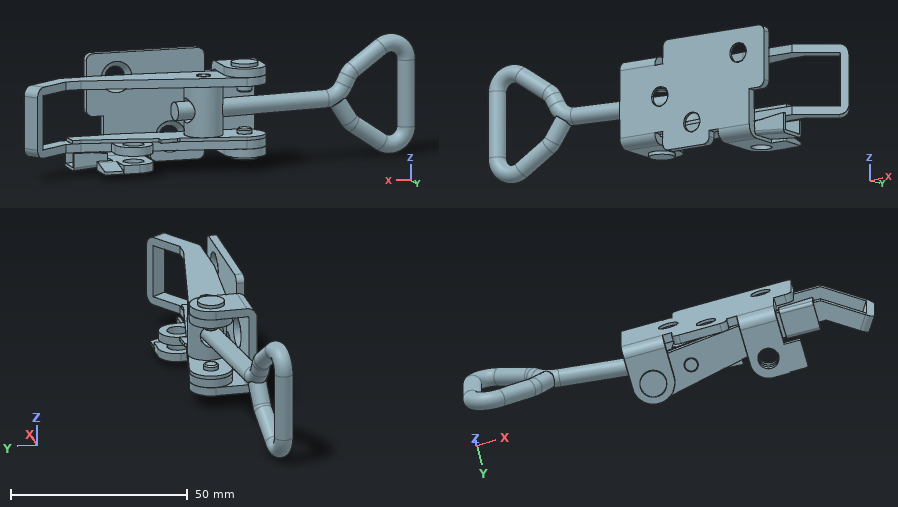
import cadquery as cq
import math

SHEET = 2.5
THIN_SHEET = 1.0
CLEAR = 0.05

PIVOT = (0.0, 12.05)
TRUNNION = (11.6, 10.4)
PADLOCK_HOLE_D = 5.9

LEVER_INNER = 7.75
LEVER_OUTER = LEVER_INNER + SHEET
LEVER_END_R = 6.1
LEVER_TOP_SLOPE = 11.8
LEVER_BOTTOM_SLOPE = 5.6
LEVER_FLAT_BOTTOM = 2.5
LEVER_FLAT_TOP = 8.4
LEVER_KINK_X = 51.8
LEVER_TIP_ANGLE = 33.6
LEVER_TIP_LENGTH = 16.1
LEVER_CORNER_R = 2.75
LEVER_RING = (33.4, 13.55)
LEVER_RING_R = 5.45

EAR_INNER = LEVER_OUTER + CLEAR
EAR_OUTER = EAR_INNER + SHEET
EAR_R = 6.1
EAR_BEND_R = 3.0
NECK_HALF = 9.8
FLANGE_LEFT = 8.8
FLANGE_TOP = 16.7
FLANGE_RIGHT = 43.9
FLANGE_STEP_Z = -1.4
FLANGE_CORNER_R = 2.0
FOOT_RIGHT = 24.9
FOOT_BOTTOM = -15.4
LUG_LEFT = 27.9
LUG_RIGHT = 38.8
LUG_OUTER = -15.15
LUG_TOP = 19.3
LUG_BEND_R = 3.5
MOUNT_HOLES = ((7.8, 0.5), (18.9, -8.4), (34.9, 9.6))
MOUNT_HOLE_D = 5.6
MOUNT_HOLE_LAND = 0.8
TAB_LEFT = 38.1
TAB_RIGHT = 43.6
TAB_BOTTOM = 10.8
TAB_FOLD = 12.6
TAB_TOP = 19.1
TAB_DROP = 1.6
TAB_CORNER_R = 0.6

RIVET_D = 4.2
RIVET_HEAD_D = 7.6
RIVET_HEAD_H = 1.0
RIVET_TIP = 5.3
RIVET_TIP_CHAMFER = 0.4
TRUNNION_D = 11.0
SPIGOT_D = 4.0
SPIGOT_CHAMFER = 0.2
BOLT_TILT = 6.5
BOLT_HOLE_D = 7.0
WIRE_D = 5.3
BOLT_END = 9.0
STEM_END = -37.7
EYE_NECK_R = 6.4
EYE_NECK_TURN = 63.0
EYE_NECK_LENGTH = 2.9
EYE_SHOULDER_R = 4.4
EYE_SIDE_ANGLE = 34.3
EYE_SIDE_LENGTH = 10.6
EYE_CORNER_R = 5.0
EYE_BAR_LENGTH = 19.2
EYE_RETURN_ANGLE = 57.0
EYE_RETURN_LENGTH = 7.0

PLATE_RIGHT = 49.9
PLATE_STOP = ((17.5, 13.0), (20.7, 14.6), (25.7, 14.9), (25.7, 12.0))
GRIP_LEFT = 39.9
GRIP_BOTTOM = 1.1
GRIP_TOP = 9.8
GRIP_BEND_R = 1.0
GRIP_INNER_Z = (-10.8, -9.6)
GRIP_OUTER_Z = (-14.6, -15.4)


def disc(centre, diameter, z_low, z_high):
    """Cylinder along Z."""
    return (cq.Workplane("XY", origin=(centre[0], centre[1], z_low))
            .circle(diameter / 2).extrude(z_high - z_low))


def block(x_range, y_range, z_range):
    """Box given by its limits along each axis."""
    return (cq.Workplane("XY")
            .box(x_range[1] - x_range[0], y_range[1] - y_range[0], z_range[1] - z_range[0], centered=False)
            .translate((x_range[0], y_range[0], z_range[0])))


def lever_side(z_low, z_high):
    """Side outline of the lever, extruded between two Z levels."""
    px, py = PIVOT
    top = math.radians(LEVER_TOP_SLOPE)
    low = math.radians(LEVER_BOTTOM_SLOPE)
    tip = math.radians(LEVER_TIP_ANGLE)
    top_start = (px + LEVER_END_R * math.sin(top), py + LEVER_END_R * math.cos(top))
    low_start = (px - LEVER_END_R * math.sin(low), py - LEVER_END_R * math.cos(low))
    top_flat_x = top_start[0] + (top_start[1] - LEVER_FLAT_TOP) / math.tan(top)
    low_flat_x = low_start[0] + (low_start[1] - LEVER_FLAT_BOTTOM) / math.tan(low)
    low_tip = (LEVER_KINK_X + LEVER_TIP_LENGTH * math.cos(tip),
               LEVER_FLAT_BOTTOM + LEVER_TIP_LENGTH * math.sin(tip))
    tip_width = (LEVER_FLAT_TOP - LEVER_FLAT_BOTTOM) * math.cos(tip)
    top_tip = (low_tip[0] - tip_width * math.sin(tip), low_tip[1] + tip_width * math.cos(tip))
    return (cq.Workplane("XY", origin=(0, 0, z_low))
            .moveTo(*top_start)
            .lineTo(top_flat_x, LEVER_FLAT_TOP)
            .lineTo(LEVER_KINK_X, LEVER_FLAT_TOP)
            .lineTo(*top_tip)
            .lineTo(*low_tip)
            .lineTo(LEVER_KINK_X, LEVER_FLAT_BOTTOM)
            .lineTo(low_flat_x, LEVER_FLAT_BOTTOM)
            .lineTo(*low_start)
            .threePointArc((px - LEVER_END_R, py), top_start)
            .close()
            .extrude(z_high - z_low))


def base_channel():
    """Web and two rounded ears that carry the pivot rivets."""
    px, py = PIVOT
    x_range = (px - EAR_R, px + EAR_R)
    channel = block(x_range, (0, py), (-EAR_OUTER, EAR_OUTER))
    channel = channel.edges("|X and <Y").fillet(EAR_BEND_R)
    ear_tops = disc(PIVOT, 2 * EAR_R, -EAR_OUTER, EAR_OUTER)
    gap = (block(x_range, (SHEET, py + EAR_R), (-EAR_INNER, EAR_INNER))
           .edges("|X and <Y").fillet(EAR_BEND_R - SHEET))
    return channel.union(ear_tops).cut(gap)


def base_flange():
    """Flat mounting flange with its foot, neck and rounded free corners."""
    bend_start = LUG_OUTER + LUG_BEND_R
    flange = block((FLANGE_LEFT, FLANGE_RIGHT), (0, SHEET), (FLANGE_STEP_Z, FLANGE_TOP))
    flange = flange.edges("|Y and (>Z or >X)").fillet(FLANGE_CORNER_R)
    foot = block((FLANGE_LEFT, FOOT_RIGHT), (0, SHEET), (FOOT_BOTTOM, FLANGE_STEP_Z))
    foot = foot.edges("|Y and <Z").fillet(FLANGE_CORNER_R)
    middle = block((FLANGE_LEFT, LUG_RIGHT), (0, SHEET), (bend_start, FLANGE_STEP_Z))
    neck = block((PIVOT[0], FLANGE_LEFT), (0, SHEET), (-NECK_HALF, NECK_HALF))
    return flange.union(foot).union(middle).union(neck)


def base_lug():
    """Padlock lug bent up from the lower edge, one upper corner rounded."""
    inner = LUG_OUTER + SHEET
    bend_start = LUG_OUTER + LUG_BEND_R
    x_range = (LUG_LEFT, LUG_RIGHT)
    lug = block(x_range, (0, LUG_TOP), (LUG_OUTER, bend_start + SHEET))
    lug = lug.edges("|X and <Y and <Z").fillet(LUG_BEND_R)
    gap = (block(x_range, (SHEET, LUG_TOP), (inner, bend_start + 2 * SHEET))
           .edges("|X and <Y and <Z").fillet(LUG_BEND_R - SHEET))
    lug = lug.cut(gap)
    corner_r = (LUG_RIGHT - LUG_LEFT) / 2
    lug = lug.edges("|Z and <X and >Y").fillet(corner_r)
    tab_room = block((TAB_LEFT, LUG_RIGHT), (TAB_BOTTOM, LUG_TOP), (LUG_OUTER, inner))
    return lug.cut(tab_room)


def base_tab():
    """Tab beside the lug, its inner face sloping away above a fold line."""
    inner = LUG_OUTER + SHEET
    tab = (cq.Workplane("YZ", origin=(TAB_LEFT, 0, 0))
           .polyline([(TAB_BOTTOM, LUG_OUTER), (TAB_BOTTOM, inner), (TAB_FOLD, inner),
                      (TAB_TOP, inner - TAB_DROP), (TAB_TOP, LUG_OUTER)])
           .close().extrude(TAB_RIGHT - TAB_LEFT))
    return tab.edges("|Z and >X").fillet(TAB_CORNER_R)


def mount_hole(x, z):
    """Cutter for a mounting hole, countersunk from the inside of the base."""
    radius = MOUNT_HOLE_D / 2
    sink_radius = radius + SHEET - MOUNT_HOLE_LAND
    profile = [(0, 0), (radius, 0), (radius, MOUNT_HOLE_LAND), (sink_radius, SHEET), (0, SHEET)]
    return (cq.Workplane("XY").polyline(profile).close()
            .revolve(360, (0, 0, 0), (0, 1, 0)).translate((x, 0, z)))


def make_base():
    base = base_channel().union(base_flange()).union(base_lug()).union(base_tab())
    for x, z in MOUNT_HOLES:
        base = base.cut(mount_hole(x, z))
    base = base.cut(disc(PIVOT, RIVET_D, -EAR_OUTER, EAR_OUTER))
    return base.cut(disc(LEVER_RING, PADLOCK_HOLE_D, LUG_OUTER, LUG_OUTER + SHEET))


def lever_ring():
    """Padlock ring standing on the lower arm."""
    x, y = LEVER_RING
    stem = block((x - LEVER_RING_R, x + LEVER_RING_R), (LEVER_FLAT_TOP, y), (-LEVER_OUTER, -LEVER_INNER))
    return stem.union(disc(LEVER_RING, 2 * LEVER_RING_R, -LEVER_OUTER, -LEVER_INNER))


def make_lever():
    lever = lever_side(-LEVER_OUTER, LEVER_OUTER)
    tip = math.radians(LEVER_TIP_ANGLE)
    across_tip = cq.Vector(-math.sin(tip), math.cos(tip), 0)
    lever = lever.edges(cq.selectors.ParallelDirSelector(across_tip)).fillet(LEVER_CORNER_R)
    gap = lever_side(-LEVER_INNER, LEVER_INNER)
    bar = (cq.Workplane("XY").box(2 * SHEET, 4 * LEVER_END_R, 2 * LEVER_OUTER)
           .rotate((0, 0, 0), (0, 0, 1), LEVER_TIP_ANGLE)
           .translate((LEVER_KINK_X + LEVER_TIP_LENGTH * math.cos(tip),
                       LEVER_FLAT_BOTTOM + LEVER_TIP_LENGTH * math.sin(tip), 0)))
    lever = lever.cut(gap.cut(bar)).union(lever_ring())
    lever = lever.cut(disc(LEVER_RING, PADLOCK_HOLE_D, -LEVER_OUTER, -LEVER_INNER))
    lever = lever.cut(disc(TRUNNION, SPIGOT_D, -LEVER_OUTER, LEVER_OUTER))
    return lever.cut(disc(PIVOT, RIVET_D, -LEVER_OUTER, LEVER_OUTER))


def make_rivet(side):
    """Headed rivet through one ear and one lever arm; side is +1 or -1 along Z."""
    shank = disc(PIVOT, RIVET_D, RIVET_TIP, EAR_OUTER).faces("<Z").chamfer(RIVET_TIP_CHAMFER)
    rivet = shank.union(disc(PIVOT, RIVET_HEAD_D, EAR_OUTER, EAR_OUTER + RIVET_HEAD_H))
    return rivet if side > 0 else rivet.mirror("XY")


BARREL_LOW = -LEVER_INNER + THIN_SHEET
BARREL_HIGH = LEVER_INNER
BOLT_Z = (BARREL_LOW + BARREL_HIGH) / 2


def along_bolt(shape):
    """Move a shape built about the bolt axis (X) onto the tilted bolt axis."""
    return shape.rotate((0, 0, 0), (0, 0, 1), BOLT_TILT).translate((TRUNNION[0], TRUNNION[1], BOLT_Z))


def make_trunnion():
    barrel = disc(TRUNNION, TRUNNION_D, BARREL_LOW, BARREL_HIGH)
    spigots = disc(TRUNNION, SPIGOT_D, -LEVER_OUTER, LEVER_OUTER).faces("<Z or >Z").chamfer(SPIGOT_CHAMFER)
    bore = cq.Workplane("YZ").circle(BOLT_HOLE_D / 2).extrude(TRUNNION_D, both=True)
    return barrel.union(spigots).cut(along_bolt(bore))


def turn_path(start, heading, moves):
    """Wire of straights and tangent arcs. A move is (length,) or (radius, turn in degrees, left positive)."""
    x, z = start
    path = cq.Workplane("XZ").moveTo(x, z)
    for move in moves:
        if len(move) == 1:
            x += move[0] * math.cos(math.radians(heading))
            z += move[0] * math.sin(math.radians(heading))
            path = path.lineTo(x, z)
            continue
        radius, turn = move
        side = math.copysign(90, turn)
        to_centre = math.radians(heading + side)
        centre = (x + radius * math.cos(to_centre), z + radius * math.sin(to_centre))
        spots = []
        for part in (0.5, 1.0):
            angle = math.radians(heading - side + part * turn)
            spots.append((centre[0] + radius * math.cos(angle), centre[1] + radius * math.sin(angle)))
        path = path.threePointArc(*spots)
        heading += turn
        x, z = spots[-1]
    return path


def sweep_wire(edges):
    """Round wire following a chain of edges."""
    start = cq.Plane(origin=edges[0].startPoint(), normal=edges[0].tangentAt(0))
    return cq.Workplane(start).circle(WIRE_D / 2).sweep(cq.Workplane(cq.Wire.assembleEdges(edges)))


def make_eye_bolt():
    """Bent wire: stem, neck, D-shaped eye and the return leg that meets the neck."""
    moves = [(BOLT_END - STEM_END,),
             (EYE_NECK_R, -EYE_NECK_TURN),
             (EYE_NECK_LENGTH,),
             (EYE_SHOULDER_R, EYE_NECK_TURN - EYE_SIDE_ANGLE),
             (EYE_SIDE_LENGTH,),
             (EYE_CORNER_R, 90 + EYE_SIDE_ANGLE),
             (EYE_BAR_LENGTH,),
             (EYE_CORNER_R, 90 + EYE_SIDE_ANGLE),
             (EYE_SIDE_LENGTH,),
             (EYE_SHOULDER_R, EYE_RETURN_ANGLE - EYE_SIDE_ANGLE),
             (EYE_RETURN_LENGTH,)]
    edges = turn_path((BOLT_END, 0), 180, moves).ctx.pendingEdges
    last_of_first_piece = moves.index((EYE_BAR_LENGTH,)) + 1
    first = sweep_wire(edges[:last_of_first_piece])
    return along_bolt(first.union(sweep_wire(edges[last_of_first_piece:])))


def make_stop_plate():
    """Thin plate lining the inside of the lower lever arm, with a raised stop on its upper edge."""
    z_low = -LEVER_INNER
    z_high = z_low + THIN_SHEET
    keep = block((PIVOT[0] - LEVER_END_R, PLATE_RIGHT), (0, PIVOT[1] + LEVER_END_R), (z_low, z_high))
    plate = lever_side(z_low, z_high).intersect(keep)
    stop = cq.Workplane("XY", origin=(0, 0, z_low)).polyline(PLATE_STOP).close().extrude(THIN_SHEET)
    plate = plate.union(stop)
    plate = plate.cut(disc(PIVOT, RIVET_D, z_low, z_high))
    return plate.cut(disc(TRUNNION, SPIGOT_D, z_low, z_high))


def make_finger_grip():
    """Flared channel outside the lower arm, opening towards the arm, wider at its right end."""
    def wedge(lift, y_low, y_high):
        outline = [(GRIP_LEFT, GRIP_INNER_Z[0]), (PLATE_RIGHT, GRIP_INNER_Z[1]),
                   (PLATE_RIGHT, GRIP_OUTER_Z[1] + lift), (GRIP_LEFT, GRIP_OUTER_Z[0] + lift)]
        return (cq.Workplane("XZ", origin=(0, y_high, 0)).polyline(outline).close()
                .extrude(y_high - y_low))

    grip = wedge(0, GRIP_BOTTOM, GRIP_TOP)
    grip = grip.faces("<Z").edges("<Y or >Y").fillet(GRIP_BEND_R)
    grip = grip.cut(wedge(THIN_SHEET, GRIP_BOTTOM + THIN_SHEET, GRIP_TOP - THIN_SHEET))
    arm_room = block((GRIP_LEFT, PLATE_RIGHT), (GRIP_BOTTOM + THIN_SHEET, GRIP_TOP), (-LEVER_OUTER, 0))
    return grip.cut(arm_room)


base = make_base()
lever = make_lever()
rivets = [make_rivet(side) for side in (1, -1)]
trunnion = make_trunnion()
eye_bolt = make_eye_bolt()
stop_plate = make_stop_plate()
finger_grip = make_finger_grip()

result = cq.Compound.makeCompound([
    base.val(),
    lever.val(),
    *[rivet.val() for rivet in rivets],
    trunnion.val(),
    eye_bolt.val(),
    stop_plate.val(),
    finger_grip.val(),
])